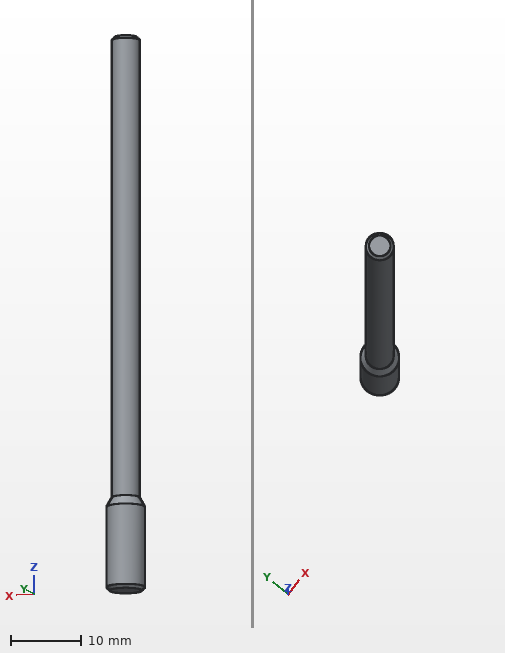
import cadquery as cq

total_length = 80.0
rod_diameter = 4.0
head_diameter = 5.5

head_length = 13.4
shoulder_height = 1.4

rod_chamfer = 0.5
head_chamfer = 0.5

rod_length = total_length - head_length
rod_radius = rod_diameter / 2
head_radius = head_diameter / 2


def make_head():
    """Thick lower end: chamfered underside and a cone narrowing to the rod diameter."""
    profile = (
        cq.Workplane("XZ")
        .moveTo(0, 0)
        .lineTo(head_radius - head_chamfer, 0)
        .lineTo(head_radius, head_chamfer)
        .lineTo(head_radius, head_length - shoulder_height)
        .lineTo(rod_radius, head_length)
        .lineTo(0, head_length)
        .close()
    )
    return profile.revolve(360, (0, 0, 0), (0, 1, 0))


def make_rod():
    """Slender rod standing on the head, with a chamfered top end."""
    rod = cq.Workplane("XY").workplane(offset=head_length).circle(rod_radius).extrude(rod_length)
    return rod.faces(">Z").chamfer(rod_chamfer)


head = make_head()
rod = make_rod()

result = cq.Compound.makeCompound([head.val(), rod.val()])